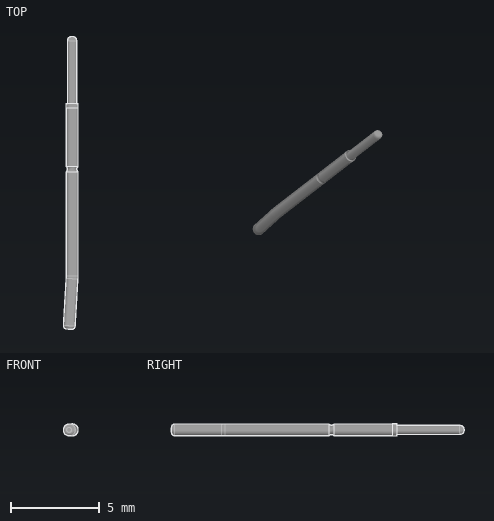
import cadquery as cq
import math

total_length = 16.5
plunger_radius = 0.26
plunger_length = 3.8
tip_length = 0.26
tip_flat_radius = 0.03
collar_radius = 0.35
collar_length = 0.25
body_diameter = 0.68
body_radius = body_diameter / 2
groove_start = 7.33
groove_width = 0.3
groove_depth = 0.07
body_end = 13.48
bend_length = 0.16
bend_angle = 3.3
tail_round = 0.2

collar_start = plunger_length
collar_end = collar_start + collar_length
groove_middle = groove_start + groove_width / 2
groove_end = groove_start + groove_width


def make_straight_part():
    """Plunger, collar and grooved body, revolved about Y with the tip at Y = 0."""
    tip_bulge = math.sqrt(0.5)
    tip_rise = plunger_radius - tip_flat_radius
    profile = (
        cq.Workplane("XY")
        .lineTo(tip_flat_radius, 0)
        .threePointArc(
            (tip_flat_radius + tip_rise * tip_bulge, -tip_length * (1 - tip_bulge)),
            (plunger_radius, -tip_length),
        )
        .lineTo(plunger_radius, -collar_start)
        .lineTo(collar_radius, -collar_start)
        .lineTo(collar_radius, -collar_end)
        .lineTo(body_radius, -collar_end)
        .lineTo(body_radius, -groove_start)
        .threePointArc((body_radius - groove_depth, -groove_middle), (body_radius, -groove_end))
        .lineTo(body_radius, -body_end)
        .lineTo(0, -body_end)
        .close()
    )
    return profile.revolve(360, (0, 0), (0, 1))


def make_tail():
    """Short curved bend followed by a straight tilted tail with a rounded end."""
    angle = math.radians(bend_angle)
    bend_radius = bend_length / angle
    bend = (
        cq.Workplane("XZ", origin=(0, -body_end, 0))
        .circle(body_radius)
        .revolve(bend_angle, (-bend_radius, 0.16), (-bend_radius, 0))
    )
    bend_exit_x = -bend_radius * (1 - math.cos(angle))
    bend_exit_y = -body_end - bend_radius * math.sin(angle)

    flat_radius = body_radius - tail_round
    lowest_drop = tail_round * (1 - math.cos(angle)) + flat_radius * math.sin(angle)
    tail_length = (total_length + bend_exit_y - lowest_drop) / math.cos(angle)
    tail_plane = cq.Plane(
        origin=(bend_exit_x, bend_exit_y, 0),
        xDir=(0, 0, 1),
        normal=(-math.sin(angle), -math.cos(angle), 0),
    )
    tail = (
        cq.Workplane(tail_plane)
        .circle(body_radius)
        .extrude(tail_length)
        .faces("<Y")
        .edges()
        .fillet(tail_round)
    )
    return bend.union(tail)


result = make_straight_part().union(make_tail())